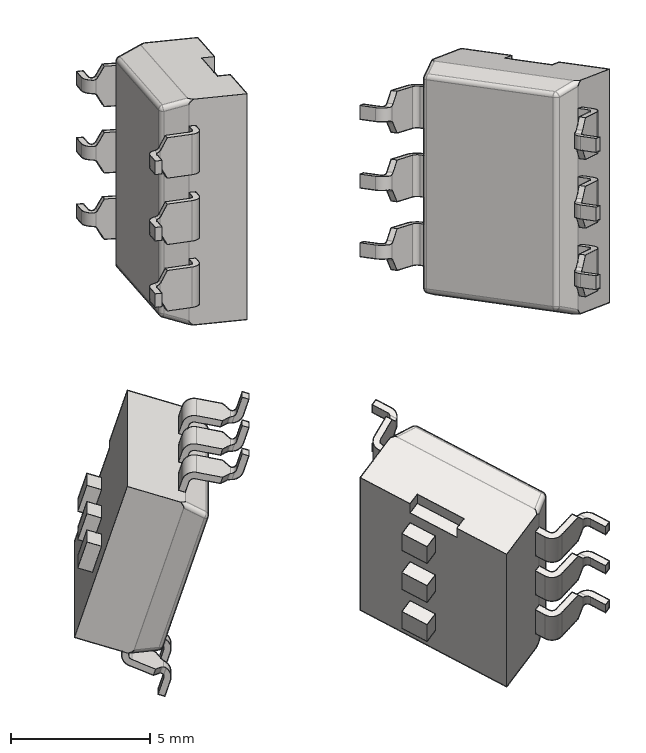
import cadquery as cq
import math


body_width = 6.22
body_length = 8.62
body_depth = 3.19
straight_depth = 2.19
draft_angle = 17.0
edge_radius = 0.2

notch_width = 1.98
notch_depth = 0.49
notch_length = 0.59

position_count = 3
position_pitch = 2.53

actuator_width = 1.07
actuator_length = 1.09
actuator_height = 0.55

overall_width = 9.9
lead_thickness = 0.26
lead_width = 1.54
foot_width = 0.51
foot_bottom = -4.0
leg_tilt = 6.0
inner_bend_radius = 0.2
first_bend_start = 3.52
neck_start = -3.29
neck_angle = 60.0
neck_radius = 0.2

middle_position = (position_count - 1) / 2
position_heights = [(i - middle_position) * position_pitch for i in range(position_count)]


def make_housing():
    """Box with a tapered, rounded -Y end and a notch at the +Z end of its +Y face."""
    straight = cq.Workplane("XZ").rect(body_width, body_length).extrude(straight_depth)
    tapered = (
        cq.Workplane("XZ", origin=(0, -straight_depth, 0))
        .rect(body_width, body_length)
        .extrude(body_depth - straight_depth, taper=draft_angle)
    )
    slanted_and_front_edges = cq.selectors.BoxSelector(
        (-body_width, -body_depth - edge_radius, -body_length),
        (body_width, -straight_depth - edge_radius, body_length),
    )
    housing = straight.union(tapered).edges(slanted_and_front_edges).fillet(edge_radius)
    notch = cq.Workplane("XY").box(
        notch_width, 2 * notch_depth, 2 * notch_length
    ).translate((0, 0, body_length / 2))
    return housing.cut(notch)


def make_actuator(height):
    """Block on the +Y face, centred at the given Z."""
    return (
        cq.Workplane("XY")
        .box(actuator_width, actuator_height, actuator_length)
        .translate(((notch_width - actuator_width) / 2, actuator_height / 2, height))
    )


def make_bent_strip():
    """Full-width lead strip on the +X side: shoulder, spreading leg and foot."""
    shoulder_y = -straight_depth + lead_thickness / 2
    foot_y = foot_bottom + lead_thickness / 2
    bend_radius = inner_bend_radius + lead_thickness / 2
    turn = math.radians(90 - leg_tilt)
    bend_run = bend_radius * math.sin(turn)
    bend_drop = bend_radius * (1 - math.cos(turn))
    leg_drop = shoulder_y - foot_y - 2 * bend_drop
    leg_run = leg_drop / math.tan(turn)
    leg_top = (first_bend_start + bend_run, shoulder_y - bend_drop)
    leg_bottom = (leg_top[0] + leg_run, leg_top[1] - leg_drop)
    centre_line = (
        cq.Workplane("XY")
        .moveTo(body_width / 2, shoulder_y)
        .lineTo(first_bend_start, shoulder_y)
        .tangentArcPoint(leg_top, relative=False)
        .lineTo(*leg_bottom)
        .tangentArcPoint((leg_bottom[0] + bend_run, foot_y), relative=False)
        .lineTo(overall_width / 2, foot_y)
    )
    return (
        cq.Workplane("YZ", origin=(body_width / 2, shoulder_y, 0))
        .rect(lead_thickness, lead_width)
        .sweep(centre_line)
    )


def make_lead_outline():
    """Block along X with the lead's outline in YZ: wide leg, narrowing to the foot."""
    neck_length = (lead_width - foot_width) / 2 / math.tan(math.radians(neck_angle))
    neck_end = neck_start - neck_length
    outline = (
        cq.Workplane("YZ")
        .moveTo(0, lead_width / 2)
        .lineTo(neck_start, lead_width / 2)
        .lineTo(neck_end, foot_width / 2)
        .lineTo(foot_bottom, foot_width / 2)
        .lineTo(foot_bottom, -foot_width / 2)
        .lineTo(neck_end, -foot_width / 2)
        .lineTo(neck_start, -lead_width / 2)
        .lineTo(0, -lead_width / 2)
        .close()
        .extrude(overall_width / 2)
    )
    neck_corners = cq.selectors.BoxSelector(
        (0, neck_end - neck_radius / 2, -foot_width),
        (overall_width, neck_end + neck_radius / 2, foot_width),
    )
    return outline.edges("|X").edges(neck_corners).fillet(neck_radius)


def make_lead(side, height):
    """Lead at the given Z, on the +X side for "right" or the -X side for "left"."""
    lead = make_bent_strip().intersect(make_lead_outline())
    if side == "left":
        lead = lead.mirror("YZ")
    return lead.translate((0, 0, height))


housing = make_housing()
actuators = [make_actuator(height) for height in position_heights]
leads = [make_lead(side, height) for side in ("left", "right") for height in position_heights]

result = cq.Compound.makeCompound(
    [body.solids().val() for body in [housing, *actuators, *leads]]
)